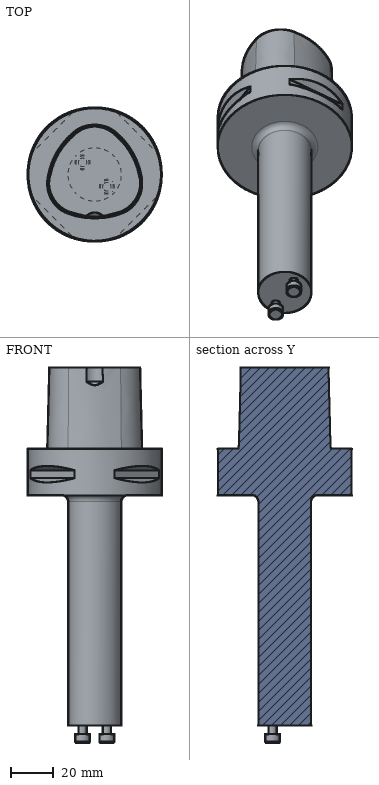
import cadquery as cq
import math

overall_length = 176.0
taper_length = 38.0
flange_height = 22.0
screw_projection = 8.0
shank_end_z = taper_length - overall_length + screw_projection

lobe_reach = 23.4
flat_reach = 20.6
lobe_center_distance = 8.2
lobe_count = 3
taper_ratio = 1 / 20

notch_radius = 5.0
notch_wall_y = -17.8
notch_wall_depth = 6.7
notch_point_angle = 100.0

flange_diameter = 63.0
flange_chamfer = 0.4
groove_floor_distance = 27.9
groove_floor_width = 3.6
groove_center_z = -12.1
groove_side_angle = 30.0
cut_clearance = 1.0
groove_directions = (45, 135, 225, 315)

shank_diameter = 25.0
root_fillet = 3.0

screw_diameter = 4.0
screw_head_diameter = 7.0
screw_head_height = 4.0
screw_head_chamfer = 0.5
screw_offset = 5.7
screw_centers = ((-screw_offset, screw_offset), (screw_offset, -screw_offset))


def polar_point(radius, angle):
    return (radius * math.cos(angle), radius * math.sin(angle))


def lobed_section(workplane, inset):
    """Closed outline of alternating lobe and flat arcs, moved inward by inset."""
    pitch = 2 * math.pi / lobe_count
    lobe_radius = lobe_reach - lobe_center_distance

    double_rise = 2 * (lobe_reach - flat_reach)
    flat_center_distance = (double_rise * lobe_center_distance - double_rise**2 / 4) / (
        lobe_center_distance - double_rise
    )
    flat_radius = flat_reach + flat_center_distance

    half_flat_angle = math.asin(
        lobe_center_distance * math.sin(pitch / 2) / (flat_radius - lobe_radius)
    )
    joint_across = (flat_radius - inset) * math.sin(half_flat_angle)
    joint_out = (flat_radius - inset) * math.cos(half_flat_angle) - flat_center_distance
    joint_angle = math.atan2(joint_across, joint_out)
    joint_distance = math.hypot(joint_across, joint_out)

    first_flat_angle = -math.pi / 2
    outline = workplane.moveTo(*polar_point(joint_distance, first_flat_angle - joint_angle))
    for i in range(lobe_count):
        flat_angle = first_flat_angle + i * pitch
        lobe_angle = flat_angle + pitch / 2
        outline = outline.threePointArc(
            polar_point(flat_reach - inset, flat_angle),
            polar_point(joint_distance, flat_angle + joint_angle),
        )
        outline = outline.threePointArc(
            polar_point(lobe_reach - inset, lobe_angle),
            polar_point(joint_distance, flat_angle + pitch - joint_angle),
        )
    return outline.close()


def make_taper():
    end_inset = taper_ratio * taper_length / 2
    base = lobed_section(cq.Workplane("XY"), 0)
    return lobed_section(base.workplane(offset=taper_length), end_inset).loft(ruled=True)


def make_notch_cutter():
    wall_bottom_z = taper_length - notch_wall_depth
    point_depth = notch_radius / math.tan(math.radians(notch_point_angle / 2))
    half_section = [
        (0, taper_length),
        (notch_radius, taper_length),
        (notch_radius, wall_bottom_z),
        (0, wall_bottom_z - point_depth),
    ]
    cutter = cq.Workplane("XZ").polyline(half_section).close().revolve(360, (0, 0), (0, 1))
    return cutter.translate((0, notch_wall_y - notch_radius, 0))


def make_flange():
    return (
        cq.Workplane("XY")
        .circle(flange_diameter / 2)
        .extrude(-flange_height)
        .faces(">Z")
        .edges()
        .chamfer(flange_chamfer)
    )


def make_groove_cutter(direction):
    """Straight trapezoidal groove across the flange rim, facing the given direction."""
    outer_distance = flange_diameter / 2 + cut_clearance
    half_floor = groove_floor_width / 2
    flare = (outer_distance - groove_floor_distance) * math.tan(math.radians(groove_side_angle))
    section = [
        (groove_floor_distance, groove_center_z - half_floor),
        (outer_distance, groove_center_z - half_floor - flare),
        (outer_distance, groove_center_z + half_floor + flare),
        (groove_floor_distance, groove_center_z + half_floor),
    ]
    cutter = cq.Workplane("XZ").polyline(section).close().extrude(flange_diameter / 2, both=True)
    return cutter.rotate((0, 0, 0), (0, 0, 1), direction)


def make_shank():
    """Cylinder whose root flares into the flange underside through a fillet."""
    radius = shank_diameter / 2
    root_z = -flange_height
    arc_middle = root_fillet * (1 - math.sqrt(0.5))
    return (
        cq.Workplane("XZ")
        .moveTo(0, shank_end_z)
        .lineTo(radius, shank_end_z)
        .lineTo(radius, root_z - root_fillet)
        .threePointArc(
            (radius + arc_middle, root_z - arc_middle),
            (radius + root_fillet, root_z),
        )
        .lineTo(0, root_z)
        .close()
        .revolve(360, (0, 0), (0, 1))
    )


def make_screws():
    head_top_z = taper_length - overall_length + screw_head_height
    stems = (
        cq.Workplane("XY", origin=(0, 0, head_top_z))
        .pushPoints(screw_centers)
        .circle(screw_diameter / 2)
        .extrude(shank_end_z - head_top_z)
    )
    heads = (
        cq.Workplane("XY", origin=(0, 0, head_top_z))
        .pushPoints(screw_centers)
        .circle(screw_head_diameter / 2)
        .extrude(-screw_head_height)
        .faces("<Z")
        .edges()
        .chamfer(screw_head_chamfer)
    )
    return stems.union(heads)


taper = make_taper().cut(make_notch_cutter())

flange = make_flange()
for direction in groove_directions:
    flange = flange.cut(make_groove_cutter(direction))

result = flange.union(taper).union(make_shank()).union(make_screws())